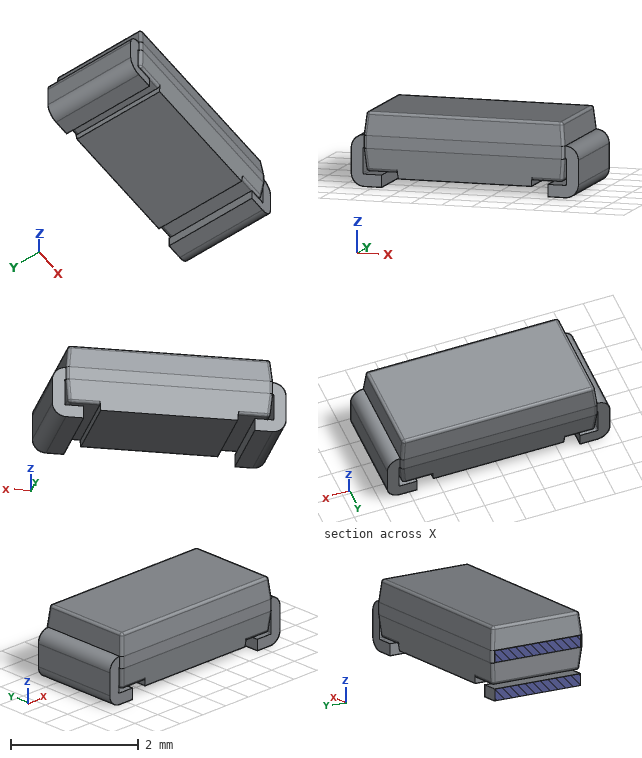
import cadquery as cq
import math

OVERALL_LENGTH = 3.74
TOTAL_HEIGHT = 1.2

HOUSING_WIDTH = 1.7
HOUSING_BOTTOM = 0.25
BAND_BOTTOM = 0.62
BAND_TOP = 0.825
DRAFT_ANGLE = 6.0
EDGE_RADIUS = 0.05

PAD_TOP_LENGTH = 2.29
PAD_BOTTOM = 0.15

LEAD_THICKNESS = 0.2
LEAD_INNER_RADIUS = 0.02
LEAD_OUTER_RADIUS = LEAD_THICKNESS + LEAD_INNER_RADIUS
LEAD_TOP = BAND_TOP
FOOT_LENGTH = 0.5

HOUSING_LENGTH = OVERALL_LENGTH - 2 * LEAD_OUTER_RADIUS
LEAD_WIDTH = HOUSING_WIDTH - 2 * EDGE_RADIUS


def drafted_block(length, width, start_z, end_z):
    """Block that narrows by the draft angle from start_z up or down to end_z."""
    inset = abs(end_z - start_z) * math.tan(math.radians(DRAFT_ANGLE))
    return (
        cq.Workplane("XY", origin=(0, 0, start_z))
        .rect(length, width)
        .workplane(offset=end_z - start_z)
        .rect(length - 2 * inset, width - 2 * inset)
        .loft(ruled=True)
    )


def make_housing():
    """Housing with a straight middle band, drafted halves, rounded edges and a bottom pad."""
    band = (
        cq.Workplane("XY", origin=(0, 0, BAND_BOTTOM))
        .rect(HOUSING_LENGTH, HOUSING_WIDTH)
        .extrude(BAND_TOP - BAND_BOTTOM)
    )
    upper_half = drafted_block(HOUSING_LENGTH, HOUSING_WIDTH, BAND_TOP, TOTAL_HEIGHT)
    lower_half = drafted_block(HOUSING_LENGTH, HOUSING_WIDTH, BAND_BOTTOM, HOUSING_BOTTOM)
    block = band.union(upper_half).union(lower_half)

    rounded = block.edges("(not (#Z)) or >Z or <Z").fillet(EDGE_RADIUS)

    pad = drafted_block(PAD_TOP_LENGTH, HOUSING_WIDTH, BAND_BOTTOM, PAD_BOTTOM)
    return rounded.union(pad).solids()


def make_lead(side):
    """C-shaped lead at one end of the housing; side is -1 for the -X end, +1 for the +X end."""
    outer_x = OVERALL_LENGTH / 2
    inner_x = outer_x - LEAD_THICKNESS
    bend_x = outer_x - LEAD_OUTER_RADIUS
    foot_x = outer_x - FOOT_LENGTH
    upper_bend_z = LEAD_TOP - LEAD_OUTER_RADIUS
    lower_bend_z = LEAD_OUTER_RADIUS
    diagonal = math.sqrt(0.5)
    outer_mid = LEAD_OUTER_RADIUS * diagonal
    inner_mid = LEAD_INNER_RADIUS * diagonal
    mid_x_outer = bend_x + outer_mid
    mid_x_inner = bend_x + inner_mid

    profile = (
        cq.Workplane("XZ")
        .moveTo(side * foot_x, 0)
        .lineTo(side * bend_x, 0)
        .threePointArc((side * mid_x_outer, lower_bend_z - outer_mid), (side * outer_x, lower_bend_z))
        .lineTo(side * outer_x, upper_bend_z)
        .threePointArc((side * mid_x_outer, upper_bend_z + outer_mid), (side * bend_x, LEAD_TOP))
        .lineTo(side * bend_x, LEAD_TOP - LEAD_THICKNESS)
        .threePointArc((side * mid_x_inner, upper_bend_z + inner_mid), (side * inner_x, upper_bend_z))
        .lineTo(side * inner_x, lower_bend_z)
        .threePointArc((side * mid_x_inner, lower_bend_z - inner_mid), (side * bend_x, LEAD_THICKNESS))
        .lineTo(side * foot_x, LEAD_THICKNESS)
        .close()
    )
    return profile.extrude(LEAD_WIDTH / 2, both=True)


housing = make_housing()
leads = [make_lead(side) for side in (-1, 1)]

result = cq.Compound.makeCompound([housing.val(), *[lead.val() for lead in leads]])